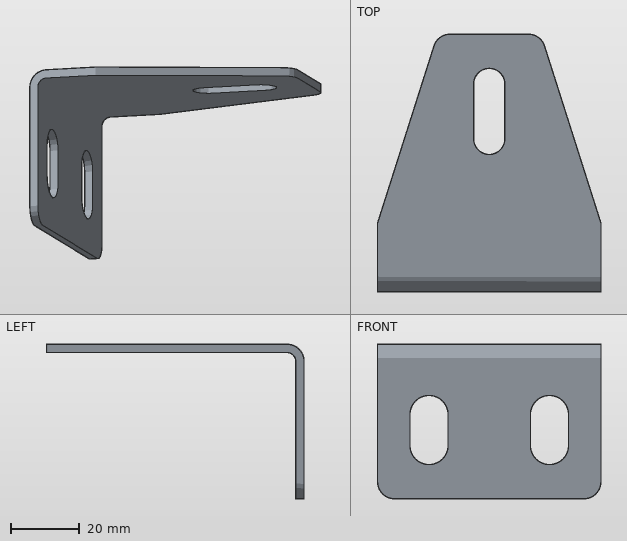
import cadquery as cq

width = 65.0
depth = 75.0
height = 45.0
thickness = 2.5
bend_radius = 5.0
corner_radius = 5.0

taper_start = 20.0
tip_width = 30.0

top_slot_width = 9.0
top_slot_length = 25.0
top_slot_inset = 22.5

front_slot_width = 11.0
front_slot_length = 20.0
front_slot_spacing = 35.0
front_slot_drop = 25.0


def bent_sheet():
    """L-shaped sheet: front face on y = 0, top face on z = 0."""
    profile = (
        cq.Workplane("YZ")
        .polyline([
            (0, 0),
            (depth, 0),
            (depth, -thickness),
            (thickness, -thickness),
            (thickness, -height),
            (0, -height),
        ])
        .close()
        .extrude(width / 2, both=True)
    )
    outside_bend = cq.selectors.NearestToPointSelector((0, 0, 0))
    inside_bend = cq.selectors.NearestToPointSelector((0, thickness, -thickness))
    sheet = profile.edges("|X").edges(inside_bend).fillet(bend_radius - thickness)
    return sheet.edges("|X").edges(outside_bend).fillet(bend_radius)


def top_outline():
    """Prism bounding the sheet to its tapered shape with a rounded tip."""
    return (
        cq.Workplane("XY")
        .polyline([
            (-width / 2, 0),
            (width / 2, 0),
            (width / 2, taper_start),
            (tip_width / 2, depth),
            (-tip_width / 2, depth),
            (-width / 2, taper_start),
        ])
        .close()
        .extrude(-height)
        .edges("|Z and >Y")
        .fillet(corner_radius)
    )


def front_outline():
    """Block bounding the sheet to rounded lower corners."""
    return (
        cq.Workplane("XY")
        .box(width, depth, height)
        .translate((0, depth / 2, -height / 2))
        .edges("|Y and <Z")
        .fillet(corner_radius)
    )


def top_slot():
    return (
        cq.Workplane("XY")
        .center(0, depth - top_slot_inset)
        .slot2D(top_slot_length, top_slot_width, 90)
        .extrude(-thickness)
    )


def front_slots():
    half_spacing = front_slot_spacing / 2
    return (
        cq.Workplane("XZ")
        .pushPoints([(side * half_spacing, -front_slot_drop) for side in (-1, 1)])
        .slot2D(front_slot_length, front_slot_width, 90)
        .extrude(-thickness)
    )


bracket = bent_sheet().intersect(top_outline()).intersect(front_outline())
result = bracket.cut(top_slot()).cut(front_slots())